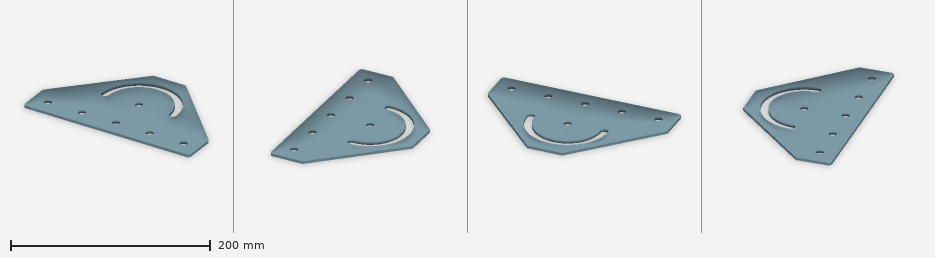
import cadquery as cq

plate_width = 196.0
plate_height = 120.0
plate_thickness = 3.0
top_edge_width = 38.25
side_edge_height = 37.0
corner_radius = 3.0

hole_diameter = 8.2
hole_pitch = 40.0
row_hole_count = 5
row_height = 18.0

pivot_height = 62.0
slot_radius = hole_pitch
slot_width = hole_diameter


def make_plate():
    """Plate with sloping shoulders and its bottom edge on Y = 0."""
    half_width = plate_width / 2
    half_top = top_edge_width / 2
    outline = [
        (-half_width, 0),
        (half_width, 0),
        (half_width, side_edge_height),
        (half_top, plate_height),
        (-half_top, plate_height),
        (-half_width, side_edge_height),
    ]
    plate = cq.Workplane("XY").polyline(outline).close().extrude(plate_thickness)
    end_corners = plate.faces("<X or >X").edges("|Z")
    return end_corners.fillet(corner_radius)


def make_holes():
    """Row of mounting holes along the bottom edge plus the pivot hole."""
    row_start = -hole_pitch * (row_hole_count - 1) / 2
    centres = [(row_start + i * hole_pitch, row_height) for i in range(row_hole_count)]
    centres.append((0, pivot_height))
    return cq.Workplane("XY").pushPoints(centres).circle(hole_diameter / 2).extrude(plate_thickness)


def make_arc_slot():
    """Half-circle slot above the pivot, with rounded ends."""
    outer = slot_radius + slot_width / 2
    inner = slot_radius - slot_width / 2
    end_bottom = -slot_width / 2
    return (
        cq.Workplane("XY", origin=(0, pivot_height, 0))
        .moveTo(-outer, 0)
        .threePointArc((0, outer), (outer, 0))
        .threePointArc((slot_radius, end_bottom), (inner, 0))
        .threePointArc((0, inner), (-inner, 0))
        .threePointArc((-slot_radius, end_bottom), (-outer, 0))
        .close()
        .extrude(plate_thickness)
    )


result = make_plate().cut(make_holes()).cut(make_arc_slot())